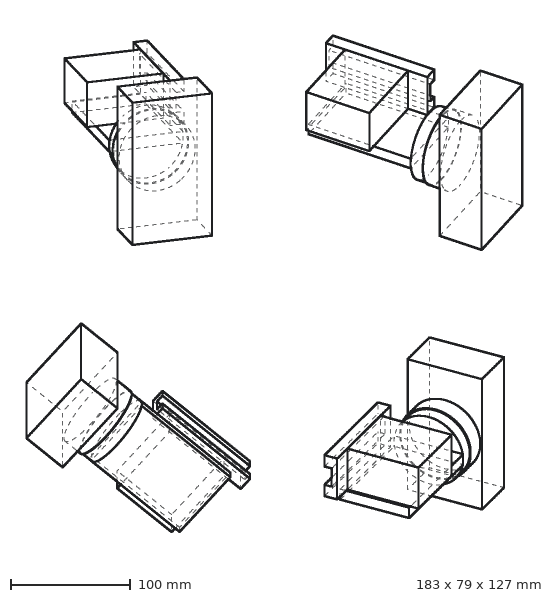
import cadquery as cq

TOTAL_LENGTH = 183.0
BASE_LENGTH = 40.0
BASE_WIDTH = 70.0
BASE_HEIGHT = 127.0
BOSS_DIAMETER = 67.0
BOSS_LENGTH = 17.2

FLANGE_DIAMETER = 65.0
FLANGE_LENGTH = 11.9
ARM_LENGTH = 97.7
ARM_THICKNESS = 10.2

BLOCK_START_X = 18.3
BLOCK_LENGTH = 60.2
BLOCK_WIDTH = 67.0
BLOCK_HEIGHT = 39.9

RAIL_LENGTH = 96.8
RAIL_THICKNESS = 12.0
RAIL_BACK_Y = 39.0
GROOVE_DEPTH = 6.8
GROOVE_HEIGHT = 17.8

base_face_x = TOTAL_LENGTH - BASE_LENGTH
boss_face_x = base_face_x - BOSS_LENGTH
flange_face_x = boss_face_x - FLANGE_LENGTH
arm_top_z = ARM_THICKNESS / 2
rail_front_y = RAIL_BACK_Y - RAIL_THICKNESS


def box_at(start, size):
    """Box with its lowest corner at start."""
    return cq.Workplane("XY").box(*size, centered=False).translate(start)


def disc_at(start_x, diameter, length):
    """Cylinder along the X axis, extending toward +X."""
    return cq.Workplane("YZ", origin=(start_x, 0, 0)).circle(diameter / 2).extrude(length)


def make_base():
    box = box_at(
        (base_face_x, -BASE_WIDTH / 2, -BASE_HEIGHT / 2),
        (BASE_LENGTH, BASE_WIDTH, BASE_HEIGHT),
    )
    return box.union(disc_at(boss_face_x, BOSS_DIAMETER, BOSS_LENGTH))


def make_arm():
    """Plate as wide as the flange, ending flat against the flange face."""
    plate = box_at(
        (flange_face_x - ARM_LENGTH, -FLANGE_DIAMETER / 2, -ARM_THICKNESS / 2),
        (ARM_LENGTH, FLANGE_DIAMETER, ARM_THICKNESS),
    )
    return plate.union(disc_at(flange_face_x, FLANGE_DIAMETER, FLANGE_LENGTH))


def make_block():
    return box_at(
        (BLOCK_START_X, rail_front_y - BLOCK_WIDTH, arm_top_z),
        (BLOCK_LENGTH, BLOCK_WIDTH, BLOCK_HEIGHT),
    )


def make_rail():
    """Bar as tall as the block, with a groove along its back face."""
    bar = box_at((0, rail_front_y, arm_top_z), (RAIL_LENGTH, RAIL_THICKNESS, BLOCK_HEIGHT))
    groove = box_at(
        (0, RAIL_BACK_Y - GROOVE_DEPTH, arm_top_z + (BLOCK_HEIGHT - GROOVE_HEIGHT) / 2),
        (RAIL_LENGTH, GROOVE_DEPTH, GROOVE_HEIGHT),
    )
    return bar.cut(groove)


base = make_base()
arm = make_arm()
block = make_block()
rail = make_rail()

result = cq.Compound.makeCompound([base.val(), arm.val(), block.val(), rail.val()])